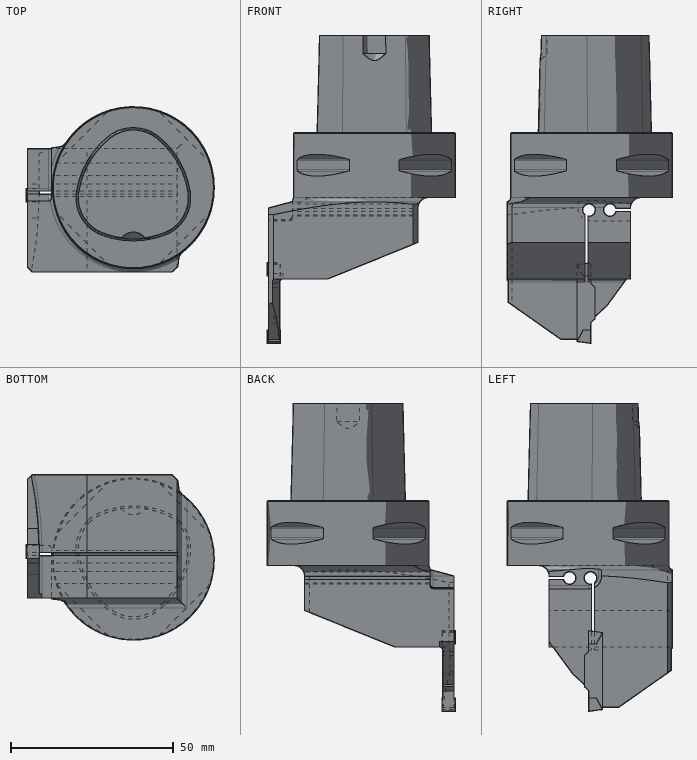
import cadquery as cq
import math


FLANGE_DIAMETER = 50.0
FLANGE_RADIUS = FLANGE_DIAMETER / 2
FLANGE_HEIGHT = 20.0
FLANGE_CHAMFER = 0.3

GROOVE_COUNT = 4
GROOVE_LENGTH = 22.8
GROOVE_DEPTH_RADIUS = math.sqrt(FLANGE_RADIUS**2 - (GROOVE_LENGTH / 2) ** 2)
GROOVE_MIDDLE_Z = -FLANGE_HEIGHT / 2
GROOVE_FLOOR_WIDTH = 3.4
GROOVE_MOUTH_WIDTH = 6.7
GROOVE_FILLET = 0.6

SHANK_HEIGHT = 30.0
SHANK_TAPER = 1 / 40
LOBE_REACH = 18.5
FLANK_REACH = 16.4
FLANK_RADIUS = 27.1

MARK_RADIUS = 4.3
MARK_AXIS_Y = -18.0
MARK_DEPTH = 5.6

HEAD_LEFT = -32.7
HEAD_RIGHT = 13.5
HEAD_FRONT = -26.0
HEAD_BACK = 12.1
HEAD_BOTTOM = -45.1
HEAD_CHAMFER = 1.5
HEAD_ROOT_RADIUS = 3.0
SLOPE_START_X = -14.3
SLOPE_END_Z = -33.8

CONE_ANGLE = 15.0
COVE_RADIUS = 1.3
CONE_RIM_RADIUS = 47.5

BLADE_THICKNESS = 3.5
BLADE_INNER = HEAD_LEFT + BLADE_THICKNESS
BLADE_BOTTOM = -63.7
BLADE_ROOT_RADIUS = 0.95
BLADE_END_X = -31.5
BLADE_BEND_X = -29.9
BLADE_BEND_Y = -16.15
BLADE_SLOPE_TOP = -52.1
BLADE_SLOPE_Y = -9.4
CLAMP_SLOPE_TOP = -43.4
CLAMP_KNEE_Y = 4.75
CLAMP_KNEE_Z = -53.4
CLAMP_TIP_Z = -56.7

INSERT_MIDDLE_Z = -52.5
INSERT_SEAT_Y = -4.5
INSERT_FACE_Y = -0.2
INSERT_RIDGE_Y = 1.1
INSERT_EDGE_REACH = 12.4
INSERT_HEEL_REACH = 11.9
RIDGE_HALF_LENGTH = 4.75
TIP_LEFT = -33.1
TIP_WIDTH = 4.2
TIP_INNER_REACH = 8.4
TIP_STEP_Y = -2.6

POCKET_FLOOR_X = -25.3
POCKET_BOTTOM = -27.2
POCKET_FRONT = -4.2
POCKET_CORNER_RADIUS = 4.0
POCKET_FLOOR_RADIUS = 0.95
HOLE_DIAMETER = 3.8
HOLE_Z = -23.8
INNER_HOLE_Y = -0.8
OUTER_HOLE_Y = 5.7
SLIT_WIDTH = 0.9
DOWN_SLIT_Y = -1.5

CLEARANCE = 4.75

SELECT_MARGIN = 0.1


def polar(radius, degrees):
    """Point in the XY plane at a radius and an angle."""
    angle = math.radians(degrees)
    return (radius * math.cos(angle), radius * math.sin(angle))


def side_prism(points, x_start, x_end):
    """Prism with a (Y, Z) outline, running along X."""
    return cq.Workplane("YZ", origin=(x_start, 0, 0)).polyline(points).close().extrude(x_end - x_start)


def block(x_range, y_range, z_range):
    """Axis-aligned box between pairs of limits."""
    size = [high - low for low, high in (x_range, y_range, z_range)]
    corner = (x_range[0], y_range[0], z_range[0])
    return cq.Workplane("XY").box(*size, centered=False).translate(corner)


def shank_wire(z, shrink):
    """Three lobe arcs tangent to three flank arcs, offset inwards by shrink."""
    reach_gap = LOBE_REACH - FLANK_REACH
    flank_offset = FLANK_RADIUS - FLANK_REACH
    lobe_offset = reach_gap * (2 * flank_offset - reach_gap) / (flank_offset - 2 * reach_gap)
    lobe_x, lobe_y = polar(lobe_offset, -30)
    tangent_angle = math.atan2(lobe_y - flank_offset, lobe_x)
    radius = FLANK_RADIUS - shrink
    joint_x = radius * math.cos(tangent_angle)
    joint_y = flank_offset + radius * math.sin(tangent_angle)
    joint_radius = math.hypot(joint_x, joint_y)
    joint_angle = math.degrees(math.atan2(joint_y, joint_x)) + 30

    outline = cq.Workplane("XY", origin=(0, 0, z)).moveTo(*polar(joint_radius, -30 + joint_angle))
    for lobe_angle in (-30, 90, 210):
        outline = outline.threePointArc(
            polar(LOBE_REACH - shrink, lobe_angle),
            polar(joint_radius, lobe_angle - joint_angle),
        )
        outline = outline.threePointArc(
            polar(FLANK_REACH - shrink, lobe_angle + 60),
            polar(joint_radius, lobe_angle + 120 + joint_angle),
        )
    return outline.close().wire().val()


def make_shank():
    """Tapered shank with a drilled mark on its front flank."""
    wires = [shank_wire(0, 0), shank_wire(SHANK_HEIGHT, SHANK_HEIGHT * SHANK_TAPER)]
    shank = cq.Workplane(cq.Solid.makeLoft(wires, True))
    mark_bottom = SHANK_HEIGHT - MARK_DEPTH
    drill = (
        cq.Workplane("XZ")
        .moveTo(0, SHANK_HEIGHT)
        .lineTo(MARK_RADIUS, SHANK_HEIGHT)
        .lineTo(MARK_RADIUS, mark_bottom)
        .lineTo(0, mark_bottom - MARK_RADIUS)
        .close()
        .revolve(360, (0, 0, 0), (0, 1, 0))
        .translate((0, MARK_AXIS_Y, 0))
    )
    return shank.cut(drill)


def turned_envelope():
    """Flange cylinder, cove and cone turned about the tool axis; the head lies inside it."""
    cone_slope = math.radians(CONE_ANGLE)
    cove_x = FLANGE_RADIUS + COVE_RADIUS
    cove_middle = polar(COVE_RADIUS, 180 + (90 - CONE_ANGLE) / 2)
    cove_end = polar(COVE_RADIUS, 270 - CONE_ANGLE)
    cone_radius = cove_x + cove_end[0]
    cone_top = cove_end[1] - FLANGE_HEIGHT
    rim_z = cone_top - (CONE_RIM_RADIUS - cone_radius) * math.tan(cone_slope)
    floor_z = BLADE_BOTTOM - CLEARANCE
    return (
        cq.Workplane("XZ")
        .lineTo(FLANGE_RADIUS - FLANGE_CHAMFER, 0)
        .lineTo(FLANGE_RADIUS, -FLANGE_CHAMFER)
        .lineTo(FLANGE_RADIUS, -FLANGE_HEIGHT)
        .threePointArc(
            (cove_x + cove_middle[0], cove_middle[1] - FLANGE_HEIGHT),
            (cone_radius, cone_top),
        )
        .lineTo(CONE_RIM_RADIUS, rim_z)
        .lineTo(CONE_RIM_RADIUS, floor_z)
        .lineTo(0, floor_z)
        .close()
        .revolve(360, (0, 0, 0), (0, 1, 0))
    )


def make_head_stock():
    """Flange slab, head and blade joined with their root fillets, before trimming."""
    slab = block((HEAD_LEFT, CONE_RIM_RADIUS), (HEAD_FRONT, CONE_RIM_RADIUS), (-FLANGE_HEIGHT, 0))
    head = block((HEAD_LEFT, HEAD_RIGHT), (HEAD_FRONT, HEAD_BACK), (HEAD_BOTTOM, -FLANGE_HEIGHT))
    blade = (
        cq.Workplane("XY", origin=(0, 0, HEAD_BOTTOM))
        .moveTo(HEAD_LEFT, HEAD_BACK)
        .lineTo(HEAD_LEFT, HEAD_FRONT)
        .lineTo(BLADE_END_X, HEAD_FRONT)
        .threePointArc((BLADE_BEND_X, BLADE_BEND_Y), (BLADE_INNER, INSERT_SEAT_Y))
        .lineTo(BLADE_INNER, HEAD_BACK)
        .close()
        .extrude(BLADE_BOTTOM - HEAD_BOTTOM)
    )
    stock = slab.union(head).union(blade)
    under_flange = cq.selectors.BoxSelector(
        (BLADE_INNER, HEAD_FRONT + SELECT_MARGIN, -FLANGE_HEIGHT - SELECT_MARGIN),
        (HEAD_RIGHT + SELECT_MARGIN, HEAD_BACK + SELECT_MARGIN, -FLANGE_HEIGHT + SELECT_MARGIN),
    )
    stock = stock.edges(under_flange).fillet(HEAD_ROOT_RADIUS)
    above_blade = cq.selectors.BoxSelector(
        (BLADE_END_X, HEAD_FRONT, HEAD_BOTTOM - SELECT_MARGIN),
        (BLADE_INNER + SELECT_MARGIN, HEAD_BACK, HEAD_BOTTOM + SELECT_MARGIN),
    )
    return stock.edges(above_blade).fillet(BLADE_ROOT_RADIUS)


def front_corners():
    """Material removed at 45 degrees along the two upright front corners of the head."""
    reach = HEAD_CHAMFER + CLEARANCE
    corners = cq.Workplane("XY")
    for corner_x, outward in ((HEAD_LEFT, -1), (HEAD_RIGHT, 1)):
        prism = (
            cq.Workplane("XY", origin=(0, 0, BLADE_BOTTOM))
            .moveTo(corner_x - outward * reach, HEAD_FRONT - CLEARANCE)
            .lineTo(corner_x + outward * CLEARANCE, HEAD_FRONT + reach)
            .lineTo(corner_x + outward * CLEARANCE, HEAD_FRONT - CLEARANCE)
            .close()
            .extrude(-BLADE_BOTTOM)
        )
        corners = corners.add(prism)
    return corners.combine()


def bottom_slope():
    """Material removed where the head bottom rises towards +X."""
    return (
        cq.Workplane("XZ")
        .moveTo(SLOPE_START_X, HEAD_BOTTOM)
        .lineTo(HEAD_RIGHT, SLOPE_END_Z)
        .lineTo(HEAD_RIGHT, HEAD_BOTTOM)
        .close()
        .extrude(CONE_RIM_RADIUS, both=True)
    )


def blade_trim():
    """Material removed to give the blade its outline, on the clamp side and on the support side."""
    clamp_side = [
        (HEAD_BACK, CLAMP_SLOPE_TOP),
        (CLAMP_KNEE_Y, CLAMP_KNEE_Z),
        (INSERT_RIDGE_Y, CLAMP_TIP_Z),
        (INSERT_SEAT_Y, CLAMP_TIP_Z),
        (INSERT_SEAT_Y, BLADE_BOTTOM),
        (HEAD_BACK, BLADE_BOTTOM),
    ]
    support_side = [
        (HEAD_FRONT, BLADE_SLOPE_TOP),
        (BLADE_SLOPE_Y, BLADE_BOTTOM),
        (HEAD_FRONT, BLADE_BOTTOM),
    ]
    x_end = BLADE_INNER + BLADE_ROOT_RADIUS
    return side_prism(clamp_side, HEAD_LEFT, x_end).union(side_prism(support_side, HEAD_LEFT, x_end))


def gripper_groove():
    """Groove at +X: a flat floor, filleted into two walls that open outwards."""
    depth = FLANGE_RADIUS - GROOVE_DEPTH_RADIUS
    half_floor = GROOVE_FLOOR_WIDTH / 2
    half_mouth = GROOVE_MOUTH_WIDTH / 2
    groove = (
        cq.Workplane("XZ", origin=(GROOVE_DEPTH_RADIUS, 0, GROOVE_MIDDLE_Z))
        .moveTo(0, half_floor)
        .lineTo(depth, half_mouth)
        .lineTo(depth, -half_mouth)
        .lineTo(0, -half_floor)
        .close()
        .extrude(GROOVE_LENGTH, both=True)
    )
    return groove.edges("|Y and <X").fillet(GROOVE_FILLET)


def clamp_pocket():
    """Pocket above the clamp arm, with one rounded corner and a filleted floor."""
    pocket = block(
        (HEAD_LEFT - CLEARANCE, POCKET_FLOOR_X),
        (POCKET_FRONT, HEAD_BACK + CLEARANCE),
        (POCKET_BOTTOM, -FLANGE_HEIGHT),
    )
    pocket = pocket.edges("|X and <Y and <Z").fillet(POCKET_CORNER_RADIUS)
    rounded_rim = pocket.faces(">X").edges("(not >Z) and (not >Y)")
    return rounded_rim.fillet(POCKET_FLOOR_RADIUS)


def clamp_slits():
    """Two holes through the head, one slit to the back and one down past the insert."""
    x_start = HEAD_LEFT - CLEARANCE
    x_end = HEAD_RIGHT + CLEARANCE
    holes = (
        cq.Workplane("YZ", origin=(x_start, 0, 0))
        .pushPoints([(INNER_HOLE_Y, HOLE_Z), (OUTER_HOLE_Y, HOLE_Z)])
        .circle(HOLE_DIAMETER / 2)
        .extrude(x_end - x_start)
    )
    half_slit = SLIT_WIDTH / 2
    back_slit = block(
        (x_start, x_end),
        (OUTER_HOLE_Y, HEAD_BACK + CLEARANCE),
        (HOLE_Z - half_slit, HOLE_Z + half_slit),
    )
    down_slit = block(
        (x_start, x_end),
        (DOWN_SLIT_Y - half_slit, DOWN_SLIT_Y + half_slit),
        (INSERT_MIDDLE_Z, HOLE_Z),
    )
    return holes.union(back_slit).union(down_slit)


def make_insert():
    """Insert bar with a locating ridge and a wider cutting tip at each end."""
    ridge_foot = RIDGE_HALF_LENGTH + INSERT_RIDGE_Y - INSERT_FACE_Y
    half_outline = [
        (INSERT_RIDGE_Y, RIDGE_HALF_LENGTH),
        (INSERT_FACE_Y, ridge_foot),
        (INSERT_FACE_Y, INSERT_EDGE_REACH),
        (INSERT_SEAT_Y, INSERT_HEEL_REACH),
    ]
    mirrored_half = [(y, -z) for y, z in reversed(half_outline)]
    insert = side_prism(half_outline + mirrored_half, HEAD_LEFT, BLADE_INNER)
    tip_outline = [
        (INSERT_FACE_Y, TIP_INNER_REACH),
        (INSERT_FACE_Y, INSERT_EDGE_REACH),
        (INSERT_SEAT_Y, INSERT_HEEL_REACH),
        (TIP_STEP_Y, TIP_INNER_REACH),
    ]
    for end in (1, -1):
        outline = [(y, end * z) for y, z in tip_outline]
        insert = insert.union(side_prism(outline, TIP_LEFT, TIP_LEFT + TIP_WIDTH))
    return insert.translate((0, 0, INSERT_MIDDLE_Z))


def make_holder(insert):
    """Shank, flange, head and blade in one piece, with a seat that matches the insert."""
    holder = make_head_stock().intersect(turned_envelope())
    holder = holder.cut(front_corners()).cut(bottom_slope()).cut(blade_trim())
    for index in range(GROOVE_COUNT):
        angle = 45 + index * 360 / GROOVE_COUNT
        holder = holder.cut(gripper_groove().rotate((0, 0, 0), (0, 0, 1), angle))
    holder = holder.cut(clamp_pocket()).cut(clamp_slits())
    return holder.union(make_shank()).cut(insert)


grooving_insert = make_insert()
holder = make_holder(grooving_insert)

result = cq.Compound.makeCompound([holder.solids().val(), grooving_insert.solids().val()])